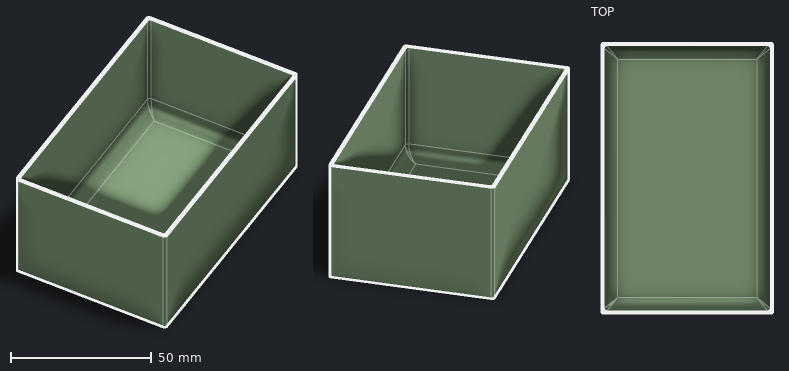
import cadquery as cq

width = 61.2
length = 96.6
height = 44.8

wall = 0.8
floor = 0.8
outer_corner_radius = 1.0
inner_corner_radius = 1.0
floor_fillet_radius = 5.0


def outer_block():
    """Solid block with rounded upright corners."""
    block = cq.Workplane("XY").box(width, length, height, centered=(True, True, False))
    return block.edges("|Z").fillet(outer_corner_radius)


def cavity():
    """Inner space with a large floor fillet, mitred at the corners and then softened there."""
    space = (
        cq.Workplane("XY")
        .workplane(offset=floor)
        .rect(width - 2 * wall, length - 2 * wall)
        .extrude(height - floor)
    )
    space = space.faces("<Z").edges().fillet(floor_fillet_radius)
    return space.edges("|Z").fillet(inner_corner_radius)


result = outer_block().cut(cavity())